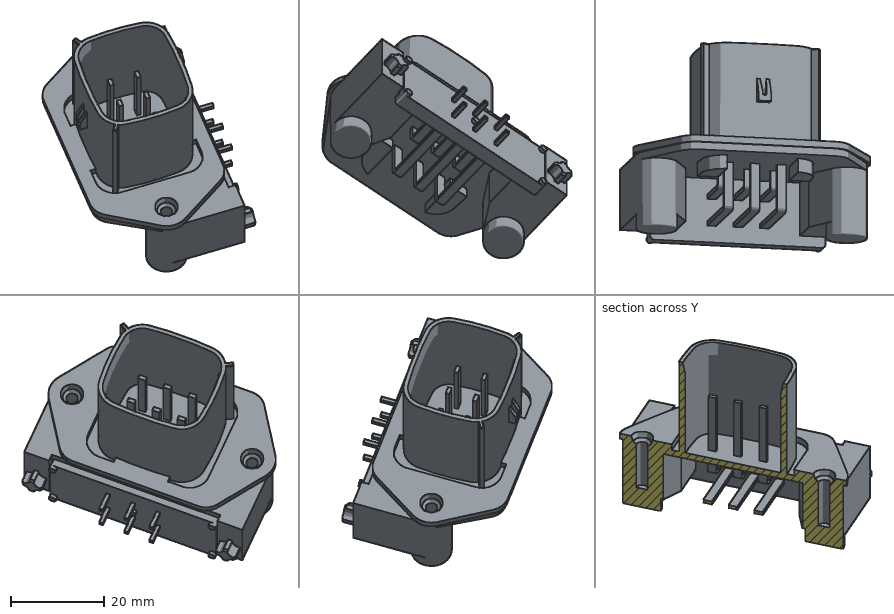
import cadquery as cq
import math


overall_length = 52.05
overall_depth = 35.55

screw_x = 20.95
upper_tip_radius = overall_length / 2 - screw_x
corner_radius = 4.5
corner_x = 14.65
flange_half_depth = 15.2
lower_half_depth = 14.75
upper_thickness = 1.45
lower_thickness = 1.6
flange_bottom = -(upper_thickness + lower_thickness)

post_radius = 4.4
post_bottom = -17.95
post_edge_fillet = 0.4
mouth_diameter = 4.9
seat_diameter = 3.95
bore_diameter = 2.5
mouth_depth = 1.25
seat_cone_depth = 0.6
bore_depth = 13.0

shroud_height = 21.65
shroud_half_width = 12.45
shroud_half_depth = 11.05
flat_half_x = 2.95
flat_half_y = 2.0
side_slope = 3.6
shroud_corner_radius = 5.4
shroud_corner_x = 6.75
shroud_corner_y = 5.35
wall = 1.55
lip_wall = 0.95
lead_in_depth = 2.85
recess_width = 28.0
recess_depth = 24.15
recess_corner_radius = 4.35
bridge_width = 12.6

rib_width = 1.0
rib_tip_x = 12.95
rib_tip_y = -8.85
rib_length = 3.1
rib_angle = 30.0
rib_chamfer = 0.2

latch_width = 2.75
latch_bottom = 8.8
latch_knee = 11.15
latch_top = 13.95
latch_front = -12.6
latch_knee_fillet = 1.9
latch_slot_bottom = 10.05
latch_slot_low_width = 0.85
latch_slot_high_width = 1.35

leg_inner_x = 7.85
leg_back_y = -flat_half_y
leg_bottom = -6.1

housing_half_width = screw_x + post_radius
housing_back = 16.3
housing_bottom = -14.75
bay_half_width = 13.6
bay_side_angle = 62.0
notch_half_width = 19.6
notch_front = 14.7
panel_half_width = 19.3
panel_front = 13.2
panel_top = -3.0
panel_bottom = -17.15
button_diameter = 1.6
button_back = 17.1

peg_x = 22.5
peg_z = -10.15
peg_radius = 2.35
peg_back = 19.1
peg_arm_width = 1.05
peg_chamfer = 0.4
peg_flute_radius = 1.55

pin_pitch_x = 5.85
pin_row_y = 3.05
pin_top = 12.35
pin_width = 1.65
shank_width = 2.0
tail_width = 0.9
pin_thickness = 0.9
bend_radius = 1.15
tail_back = overall_depth - flange_half_depth
front_row_bottom = -13.5
back_row_bottom = -7.6


def box(x_range, y_range, z_range):
    """Axis-aligned box between pairs of limits."""
    spans = [high - low for low, high in (x_range, y_range, z_range)]
    start = (x_range[0], y_range[0], z_range[0])
    return cq.Workplane("XY").box(*spans, centered=False).translate(start)


def centred_bar(x, width, y_range, z_range):
    """Box of a given width centred on an X position."""
    return box((x - width / 2, x + width / 2), y_range, z_range)


def both_sides(shape):
    """The shape together with its mirror image across the YZ plane."""
    return shape.union(shape.mirror("YZ"))


def rod(diameter, x, z, y_start, y_end):
    """Round bar along Y."""
    plane = cq.Workplane("XZ", origin=(x, y_start, z))
    return plane.circle(diameter / 2).extrude(y_start - y_end)


def arc(centre, radius, start, end):
    """Start, middle and end points of an arc between two angles in degrees."""
    angles = [math.radians(a) for a in (start, (start + end) / 2, end)]
    return [(centre[0] + radius * math.cos(a), centre[1] + radius * math.sin(a)) for a in angles]


def all_quadrants(quarter):
    """Closed outline from its +X +Y quarter, a list of single points and three-point arcs."""
    stretches = []
    for x_sign, y_sign in ((1, 1), (-1, 1), (-1, -1), (1, -1)):
        flipped = [[(x_sign * x, y_sign * y) for x, y in stretch] for stretch in quarter]
        if x_sign != y_sign:
            flipped = [stretch[::-1] for stretch in flipped[::-1]]
        stretches += flipped
    last = stretches[0][0]
    outline = cq.Workplane("XY").moveTo(*last)
    for stretch in stretches:
        touching = math.isclose(math.dist(last, stretch[0]), 0, abs_tol=5.21e-07)
        if not touching:
            outline = outline.lineTo(*stretch[0])
        if len(stretch) == 3:
            outline = outline.threePointArc(*stretch[1:])
        last = stretch[-1]
    return outline.close()


def flange_plate(half_depth, tip_radius, bottom, top):
    """Hexagonal plate with arcs at its two tips and four corners."""
    corner_y = half_depth - corner_radius
    run = screw_x - corner_x
    to_corner = 180 - math.degrees(math.atan2(corner_y, run))
    lean = math.acos((tip_radius - corner_radius) / math.hypot(run, corner_y))
    normal = to_corner - math.degrees(lean)
    quarter = [
        arc((screw_x, 0), tip_radius, 0, normal),
        arc((corner_x, corner_y), corner_radius, normal, 90),
    ]
    return all_quadrants(quarter).extrude(top - bottom).translate((0, 0, bottom))


def shroud_prism(inset, bottom, top, taper=0):
    """Prism on the bulged, round-cornered shroud outline, moved inward by the inset."""
    quarter = [
        [(shroud_half_width - inset, flat_half_y)],
        arc((shroud_corner_x, shroud_corner_y), shroud_corner_radius - inset, side_slope, 90 - side_slope),
        [(flat_half_x, shroud_half_depth - inset)],
    ]
    return all_quadrants(quarter).extrude(top - bottom, taper=taper).translate((0, 0, bottom))


def flange():
    """Upper plate with a recess around the shroud, bridged front and back, over the lower plate."""
    upper = flange_plate(flange_half_depth, upper_tip_radius, -upper_thickness, 0)
    recess_y = (-recess_depth / 2, recess_depth / 2)
    recess = centred_bar(0, recess_width, recess_y, (-upper_thickness, 0))
    recess = recess.edges("|Z").fillet(recess_corner_radius)
    bridges = centred_bar(0, bridge_width, recess_y, (-upper_thickness, 0))
    lower = flange_plate(lower_half_depth, post_radius, flange_bottom, -upper_thickness)
    return upper.cut(recess.cut(bridges)).union(lower)


def shroud_cavity():
    """Inside of the shroud, widening towards its rim."""
    lead_in_bottom = shroud_height - lead_in_depth
    lead_in_angle = math.degrees(math.atan2(wall - lip_wall, lead_in_depth))
    lead_in = shroud_prism(wall, lead_in_bottom, shroud_height, taper=-lead_in_angle)
    return shroud_prism(wall, -upper_thickness, lead_in_bottom).union(lead_in)


def keying_rib():
    """Rib standing out from the front right corner of the shroud."""
    rib = box((-rib_length, 0), (-rib_width / 2, rib_width / 2), (-upper_thickness, shroud_height))
    rib = rib.faces(">Z").edges(">X or >Y or <Y").chamfer(rib_chamfer)
    return rib.rotate((0, 0, 0), (0, 0, 1), -rib_angle).translate((rib_tip_x, rib_tip_y, 0))


def latch():
    """Ramp on the front of the shroud, split by a slot that narrows downwards."""
    face = -shroud_half_depth
    root = face + wall / 2
    profile = [(root, latch_bottom), (latch_front, latch_bottom), (latch_front, latch_knee)]
    profile += [(face, latch_top), (root, latch_top)]
    ramp = cq.Workplane("YZ").polyline(profile).close().extrude(latch_width / 2, both=True)
    knee = cq.selectors.NearestToPointSelector((0, latch_front, latch_knee))
    ramp = ramp.edges(knee).fillet(latch_knee_fillet)
    low = latch_slot_low_width / 2
    high = latch_slot_high_width / 2
    slot = (
        cq.Workplane("XZ", origin=(0, face, 0))
        .moveTo(-high, latch_top)
        .lineTo(-low, latch_slot_bottom + low)
        .threePointArc((0, latch_slot_bottom), (low, latch_slot_bottom + low))
        .lineTo(high, latch_top)
        .close()
        .extrude(face - latch_front)
    )
    return ramp.cut(slot)


def corner_leg():
    """Front right corner of the shroud outline carried on below the flange."""
    leg_y = (-shroud_half_depth, leg_back_y)
    corner = box((leg_inner_x, shroud_half_width), leg_y, (leg_bottom, flange_bottom))
    return corner.intersect(shroud_prism(0, leg_bottom, flange_bottom))


def post():
    """Round post under the right screw hole."""
    height = -upper_thickness - post_bottom
    cylinder = cq.Workplane("XY", origin=(screw_x, 0, post_bottom)).circle(post_radius).extrude(height)
    return cylinder.faces("<Z").edges().fillet(post_edge_fillet)


def screw_hole():
    """Tapered mouth, a conical seat and a blind bore."""
    seat_bottom = -mouth_depth - seat_cone_depth
    profile = [
        (0, 0),
        (mouth_diameter / 2, 0),
        (seat_diameter / 2, -mouth_depth),
        (bore_diameter / 2, seat_bottom),
        (bore_diameter / 2, -bore_depth),
        (0, -bore_depth),
    ]
    return cq.Workplane("XZ").polyline(profile).close().revolve(360).translate((screw_x, 0, 0))


def housing():
    """Side walls from the posts to the back, with the pin bay between them and a notch for the panel."""
    slant = math.radians(bay_side_angle)
    touch_x = screw_x - post_radius * math.sin(slant)
    touch_y = -post_radius * math.cos(slant)
    bend_y = touch_y + (touch_x - bay_half_width) * math.tan(slant)
    half = [
        (bay_half_width, notch_front),
        (bay_half_width, bend_y),
        (touch_x, touch_y),
        (screw_x, 0),
        (housing_half_width, 0),
        (housing_half_width, housing_back),
        (notch_half_width, housing_back),
        (notch_half_width, notch_front),
    ]
    height = -upper_thickness - housing_bottom
    base = cq.Workplane("XY", origin=(0, 0, housing_bottom))
    return both_sides(base.polyline(half).close().extrude(height))


def panel():
    """Rear panel with round bars along its corners that stand out of its back, and a button in the middle."""
    radius = button_diameter / 2
    bar_x = panel_half_width - radius
    bar_top = panel_top - radius
    bar_bottom = panel_bottom + radius
    thickness = (panel_front, housing_back)
    plate = centred_bar(0, 2 * panel_half_width, thickness, (bar_bottom, bar_top))
    plate = plate.union(centred_bar(0, 2 * bar_x, thickness, (panel_bottom, panel_top)))
    for z in (bar_bottom, bar_top):
        plate = plate.union(both_sides(rod(button_diameter, bar_x, z, panel_front, button_back)))
    middle_z = (bar_bottom + bar_top) / 2
    return plate.union(rod(button_diameter, 0, middle_z, notch_front, button_back))


def locating_peg():
    """Four-armed peg: a bar with a concave flute between each pair of arms."""
    peg = rod(2 * peg_radius, peg_x, peg_z, notch_front, peg_back).faces(">Y").edges().chamfer(peg_chamfer)
    flute_offset = peg_arm_width / 2 + peg_flute_radius
    for x in (peg_x - flute_offset, peg_x + flute_offset):
        for z in (peg_z - flute_offset, peg_z + flute_offset):
            peg = peg.cut(rod(2 * peg_flute_radius, x, z, notch_front, peg_back))
    return peg


def pin(x, y, bottom):
    """Blade in the shroud, a wider bent shank below the flange and a narrow tail out of the back."""
    front = y - pin_thickness / 2
    back = y + pin_thickness / 2
    upper_face = bottom + pin_thickness
    blade = centred_bar(x, pin_width, (front, back), (flange_bottom, pin_top))
    shank = centred_bar(x, shank_width, (front, notch_front), (bottom, flange_bottom))
    shank = shank.edges("|X and <Y and <Z").fillet(bend_radius)
    bend_inside = centred_bar(x, shank_width, (back, notch_front), (upper_face, flange_bottom))
    bend_inside = bend_inside.edges("|X and <Y and <Z").fillet(bend_radius - pin_thickness)
    tail = centred_bar(x, tail_width, (panel_front, tail_back), (bottom, upper_face))
    return blade.union(shank.cut(bend_inside)).union(tail)


shell = shroud_prism(0, -upper_thickness, shroud_height).union(both_sides(keying_rib()))
result = flange().union(shell).cut(shroud_cavity()).union(latch())
result = result.union(both_sides(corner_leg())).union(housing()).union(both_sides(post()))
result = result.cut(both_sides(screw_hole())).union(panel()).union(both_sides(locating_peg()))
for column in (-1, 0, 1):
    result = result.union(pin(column * pin_pitch_x, -pin_row_y, front_row_bottom))
    result = result.union(pin(column * pin_pitch_x, pin_row_y, back_row_bottom))